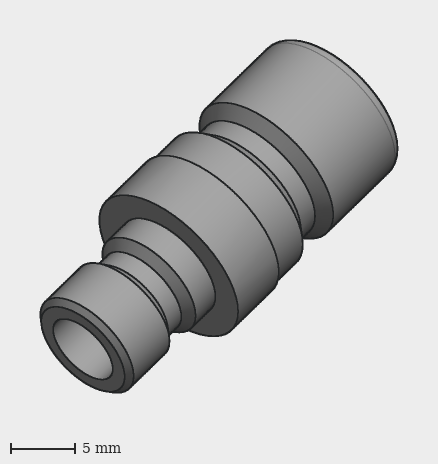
import cadquery as cq

total_length = 31.0
front_groove_start = 4.9
front_groove_end = 8.1
flange_start = 10.5
flange_end = 15.5
rear_groove_start = 18.75
rear_groove_end = 22.48

bore_radius = 3.0
spigot_radius = 4.7
front_groove_radius = 3.9
flange_radius = 7.0
body_radius = 6.75
rear_groove_radius = 5.75

front_chamfer = 0.5
rear_fillet = 1.0
front_groove_taper = 0.78
rear_groove_taper = 1.0


def cylinder(radius, start, end):
    """Solid cylinder about the Y axis between two stations."""
    return cq.Workplane("XZ", origin=(0, start, 0)).circle(radius).extrude(start - end)


def groove(outer_radius, floor_radius, start, end, taper):
    """Ring cutter for a groove with sloping walls and a flat floor."""
    profile = [
        (outer_radius, start),
        (floor_radius, start + taper),
        (floor_radius, end - taper),
        (outer_radius, end),
    ]
    return cq.Workplane("XY").polyline(profile).close().revolve(360, (0, 0, 0), (0, 1, 0))


spigot = cylinder(spigot_radius, 0, flange_start).faces("<Y").edges().chamfer(front_chamfer)
flange = cylinder(flange_radius, flange_start, flange_end)
body = cylinder(body_radius, flange_end, total_length).faces(">Y").edges().fillet(rear_fillet)
result = spigot.union(flange).union(body)

result = result.cut(
    groove(spigot_radius, front_groove_radius, front_groove_start, front_groove_end, front_groove_taper)
)
result = result.cut(
    groove(body_radius, rear_groove_radius, rear_groove_start, rear_groove_end, rear_groove_taper)
)

result = result.cut(cylinder(bore_radius, 0, total_length))